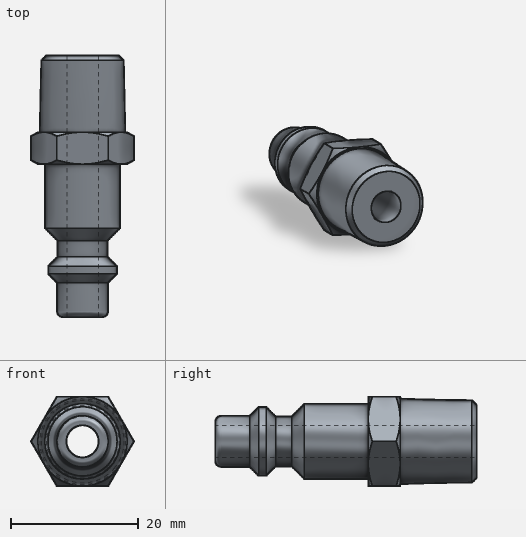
import cadquery as cq
import math

TOTAL_LENGTH = 41.0
HEX_ACROSS_FLATS = 14.0
BORE_RADIUS = 2.5

NOSE_RADIUS = 4.0
NOSE_ROUND = 1.0
NOSE_END = 5.4
COLLAR_RADIUS = 5.4
COLLAR_WIDTH = 1.2
NECK_RADIUS = 3.95
NECK_LENGTH = 2.55
COLLAR_START = NOSE_END + COLLAR_RADIUS - NOSE_RADIUS
COLLAR_END = COLLAR_START + COLLAR_WIDTH
NECK_START = COLLAR_END + COLLAR_RADIUS - NECK_RADIUS
NECK_END = NECK_START + NECK_LENGTH

BODY_RADIUS = 5.9
BODY_START = NECK_END + BODY_RADIUS - NECK_RADIUS
HEX_START = 24.0
HEX_WIDTH = 5.0
HEX_END = HEX_START + HEX_WIDTH
HEX_SIDES = 6
HEX_CHAMFER_ANGLE = 30.0

TAPER_START_RADIUS = 6.72
TAPER_END_RADIUS = 6.48
END_CHAMFER = 0.78


def make_turned_body():
    """Revolve the half outline (radius, Y) about the Y axis."""
    taper_end = TOTAL_LENGTH - END_CHAMFER
    outline = (
        cq.Workplane("XY")
        .lineTo(NOSE_RADIUS - NOSE_ROUND, 0)
        .radiusArc((NOSE_RADIUS, NOSE_ROUND), -NOSE_ROUND)
        .lineTo(NOSE_RADIUS, NOSE_END)
        .lineTo(COLLAR_RADIUS, COLLAR_START)
        .lineTo(COLLAR_RADIUS, COLLAR_END)
        .lineTo(NECK_RADIUS, NECK_START)
        .lineTo(NECK_RADIUS, NECK_END)
        .lineTo(BODY_RADIUS, BODY_START)
        .lineTo(BODY_RADIUS, HEX_END)
        .lineTo(TAPER_START_RADIUS, HEX_END)
        .lineTo(TAPER_END_RADIUS, taper_end)
        .lineTo(TAPER_END_RADIUS - END_CHAMFER, TOTAL_LENGTH)
        .lineTo(0, TOTAL_LENGTH)
        .close()
    )
    return outline.revolve(360, (0, 0), (0, 1))


def make_hexagon():
    """Hexagon with corners on X, both ends turned to a conical chamfer."""
    flat_radius = HEX_ACROSS_FLATS / 2
    corner_radius = flat_radius / math.cos(math.pi / HEX_SIDES)
    chamfer_depth = (corner_radius - flat_radius) * math.tan(math.radians(HEX_CHAMFER_ANGLE))
    prism = (
        cq.Workplane("XZ", origin=(0, HEX_END, 0))
        .polygon(HEX_SIDES, 2 * corner_radius)
        .extrude(HEX_WIDTH)
    )
    envelope = (
        cq.Workplane("XY")
        .moveTo(0, HEX_START)
        .lineTo(flat_radius, HEX_START)
        .lineTo(corner_radius, HEX_START + chamfer_depth)
        .lineTo(corner_radius, HEX_END - chamfer_depth)
        .lineTo(flat_radius, HEX_END)
        .lineTo(0, HEX_END)
        .close()
        .revolve(360, (0, 0), (0, 1))
    )
    return prism.intersect(envelope)


def make_bore():
    """Straight passage through the whole length."""
    return cq.Workplane("XZ").circle(BORE_RADIUS).extrude(-TOTAL_LENGTH)


result = make_turned_body().union(make_hexagon()).cut(make_bore())